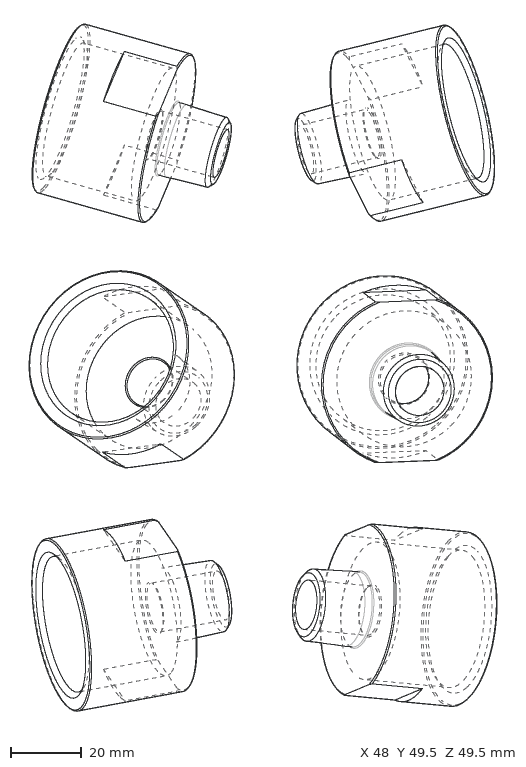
import cadquery as cq

total_length = 48.0
body_length = 32.15
body_diameter = 49.5
body_chamfer = 0.4

flat_length = body_length / 2
across_flats = 46.05

spigot_diameter = 21.3
spigot_straight_length = 2.6
spigot_taper = 1 / 16
spigot_tip_chamfer = 1.2
spigot_root_fillet = 0.35

socket_diameter = 38.95
socket_mouth_diameter = 41.9
socket_mouth_depth = 1.5
socket_depth = 27.95
hole_diameter = 14.0
hole_chamfer = 0.4


def make_body():
    body = cq.Workplane("YZ").circle(body_diameter / 2).extrude(body_length)
    return body.edges("%CIRCLE").chamfer(body_chamfer)


def cut_flats(body):
    """Two parallel flats, top and bottom, running from mid-body to the spigot face."""
    flat_depth = (body_diameter - across_flats) / 2
    cutter_x = body_length - flat_length / 2
    cutter_z = (across_flats + flat_depth) / 2
    for side in (1, -1):
        cutter = cq.Workplane("XY").box(flat_length, body_diameter, flat_depth)
        body = body.cut(cutter.translate((cutter_x, 0, side * cutter_z)))
    return body


def make_spigot():
    """Revolved spigot with a root fillet, a short cylinder, a taper and a chamfered tip."""
    root_radius = spigot_diameter / 2
    taper_start = body_length + spigot_straight_length
    taper_end = total_length - spigot_tip_chamfer
    taper_end_radius = root_radius - (taper_end - taper_start) * spigot_taper / 2
    root_edge = root_radius + spigot_root_fillet
    fillet_end = body_length + spigot_root_fillet
    return (
        cq.Workplane("XY")
        .moveTo(socket_depth, 0)
        .lineTo(socket_depth, root_edge)
        .lineTo(body_length, root_edge)
        .radiusArc((fillet_end, root_radius), -spigot_root_fillet)
        .lineTo(taper_start, root_radius)
        .lineTo(taper_end, taper_end_radius)
        .lineTo(total_length, taper_end_radius - spigot_tip_chamfer)
        .lineTo(total_length, 0)
        .close()
        .revolve(360, (0, 0, 0), (1, 0, 0))
    )


def make_bore():
    """Revolved cavity: conical socket mouth, socket, chamfered hole through the spigot."""
    socket_radius = socket_diameter / 2
    hole_radius = hole_diameter / 2
    return (
        cq.Workplane("XY")
        .lineTo(0, socket_mouth_diameter / 2)
        .lineTo(socket_mouth_depth, socket_radius)
        .lineTo(socket_depth, socket_radius)
        .lineTo(socket_depth, hole_radius + hole_chamfer)
        .lineTo(socket_depth + hole_chamfer, hole_radius)
        .lineTo(total_length, hole_radius)
        .lineTo(total_length, 0)
        .close()
        .revolve(360, (0, 0, 0), (1, 0, 0))
    )


result = cut_flats(make_body()).union(make_spigot()).cut(make_bore())